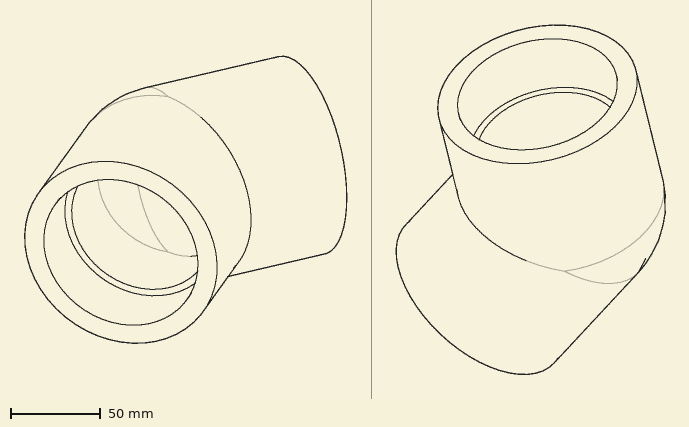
import cadquery as cq
import math

bend_angle = 45
outer_radius = 56.5
bore_radius = 41.2
socket_radius = 45.2
leg_length = 83.0
socket_depth = 37.0
shoulder_distance = leg_length - socket_depth

bend = math.radians(bend_angle)
inlet_direction = cq.Vector(0, -1, 0)
outlet_direction = cq.Vector(math.sin(bend), math.cos(bend), 0)


def leg_cylinder(radius, direction, start, end):
    """Cylinder along a leg axis between two distances from the bend centre."""
    cylinder = cq.Solid.makeCylinder(radius, end - start, direction * start, direction)
    return cq.Workplane(obj=cylinder)


def bent_rod(radius):
    """Two round legs joined by a ball at the bend centre."""
    inlet = leg_cylinder(radius, inlet_direction, 0, leg_length)
    outlet = leg_cylinder(radius, outlet_direction, 0, leg_length)
    ball = cq.Workplane("XY").sphere(radius)
    return inlet.union(outlet).union(ball)


result = bent_rod(outer_radius).cut(bent_rod(bore_radius))

for leg_direction in (inlet_direction, outlet_direction):
    socket = leg_cylinder(socket_radius, leg_direction, shoulder_distance, leg_length)
    result = result.cut(socket)